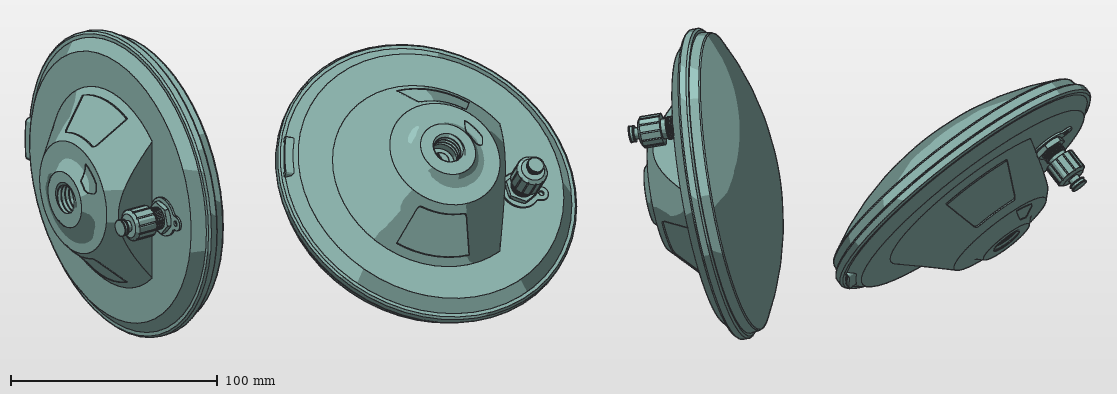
import cadquery as cq
import math


overrun = 1.0

crown_y = 61.75
dome_edge_radius = 72.6
dome_edge_y = 42.5
band_top_radius = 73.0
band_top_y = 41.8
band_bottom_radius = 73.7
flange_radius = 76.0
flange_chamfer = 1.0
flange_top_y = 37.2
flange_bottom_y = 32.0
base_rim_radius = 73.2
base_radius = 67.5
base_y = 27.0

hub_base_radius = 50.0
hub_face_y = 5.0
hub_face_radius = hub_base_radius - (base_y - hub_face_y)
hub_flat_base_x = 35.0
hub_flat_lean = 3.0
hub_flat_rise = 18.0

nose_radius = 14.0
nose_blend = 10.0
nose_slope = math.radians(45)
nose_blend_height = nose_blend * (1 - math.cos(nose_slope))
nose_blend_width = nose_blend * math.sin(nose_slope)
nose_cone_height = hub_face_y - nose_blend_height
nose_cone_radius = nose_radius + nose_cone_height
nose_foot_radius = nose_cone_radius + nose_blend_width

nose_recess_depth = 0.3
nose_recess_left_x = 10.1
nose_recess_right_x = 19.1
nose_recess_bottom_z = 7.7
nose_recess_inner = (13.2, 9.0)
nose_recess_corner = 2.0

bore_radius = 7.0
bore_depth = 12.0
thread_depth = 1.8
thread_pitch = 2.309
thread_flat = 0.2
thread_overlap = 0.1
thread_start_angle = 215.0
screw_radius = 4.1
screw_height = 1.5
screw_chamfer = 0.35
screw_slot_width = 1.0
screw_slot_depth = 0.8
screw_slot_angle = -54.0

label_outer_radius = 46.5
label_inner_radius = 31.3
label_outer_half_width = 18.4
label_inner_half_width = 12.0
label_corner = 1.5
label_depth = 0.5

lip_radius = 73.7
lip_half_length = 10.9
lip_bottom_y = 28.75
lip_corner = 2.0
lip_inner_x = -66.0
lip_slot_radius = 72.9
lip_slot_half_length = 8.7
lip_slot_y = 30.3

connector_x = 45.0
washer_radius = 9.6
washer_bottom_y = 26.0
lug_x = 55.8
lug_radius = 3.6
lug_hole_radius = 1.3
lug_fillet = 2.0
nut_across_flats = 14.0
nut_bottom_y = 23.35
nut_turn = 47.0
nut_chamfer_radius = 7.2
nut_chamfer_height = 0.5
stud_radius = 5.55
stud_bottom_y = 19.5
stud_thread_pitch = 0.9
stud_thread_depth = 0.5
sleeve_radius = 4.9
cap_radius = 7.75
cap_top_y = 17.1
cap_chamfer_y = 7.2
cap_bottom_y = 5.9
cap_end_radius = 5.9
flute_count = 12
flute_radius = 0.35
neck_radius = 2.8
button_radius = 4.1
button_top_y = 3.3
button_bottom_y = 0.8
button_groove_depth = 0.3
button_rim = 0.6


def revolve_y(profile):
    return profile.close().revolve(360, (0, 0, 0), (0, 1, 0))


def disc(radius, y_from, y_to, x=0.0):
    return cq.Workplane("XZ", origin=(x, y_from, 0)).circle(radius).extrude(y_from - y_to)


def along_y(y_from):
    """Sketch plane facing -Y, with X to the right and Z up."""
    return cq.Workplane("XZ", origin=(0, y_from, 0))


def make_radome():
    curvature_radius = (dome_edge_radius**2 + (crown_y - dome_edge_y) ** 2) / (2 * (crown_y - dome_edge_y))
    mid_radius = dome_edge_radius / 2
    mid_y = crown_y - curvature_radius + math.sqrt(curvature_radius**2 - mid_radius**2)
    return revolve_y(
        cq.Workplane("XY")
        .moveTo(0, base_y)
        .lineTo(base_radius, base_y)
        .lineTo(base_rim_radius, flange_bottom_y)
        .lineTo(flange_radius - flange_chamfer, flange_bottom_y)
        .lineTo(flange_radius, flange_bottom_y + flange_chamfer)
        .lineTo(flange_radius, flange_top_y - flange_chamfer)
        .lineTo(flange_radius - flange_chamfer, flange_top_y)
        .lineTo(band_bottom_radius, flange_top_y)
        .lineTo(band_top_radius, band_top_y)
        .lineTo(dome_edge_radius, dome_edge_y)
        .threePointArc((mid_radius, mid_y), (0, crown_y))
    )


def hub_cone(inset):
    """Hub cone with its side moved inward, square to itself, by inset."""
    shift = inset * math.sqrt(2)
    return revolve_y(
        cq.Workplane("XY")
        .moveTo(0, hub_face_y)
        .lineTo(hub_face_radius - shift, hub_face_y)
        .lineTo(hub_base_radius - shift, base_y)
        .lineTo(0, base_y)
    )


def make_hub():
    lean_per_height = hub_flat_lean / hub_flat_rise
    flat_end_x = hub_flat_base_x - lean_per_height * base_y
    beyond = (
        cq.Workplane("XY")
        .moveTo(hub_flat_base_x, base_y)
        .lineTo(flat_end_x, 0)
        .lineTo(hub_base_radius, 0)
        .lineTo(hub_base_radius, base_y)
        .close()
        .extrude(hub_base_radius, both=True)
    )
    return hub_cone(0).cut(beyond)


def nose_body(inset):
    """Nose of revolution; inset sinks the concave blend by that amount."""
    blend = nose_blend + inset
    centre_radius = nose_foot_radius
    centre_y = hub_face_y - nose_blend

    def on_blend(angle):
        return centre_radius - blend * math.sin(angle), centre_y + blend * math.cos(angle)

    start = on_blend(nose_slope)
    middle = on_blend(nose_slope / 2)
    end = on_blend(0)
    return revolve_y(
        cq.Workplane("XY")
        .moveTo(0, 0)
        .lineTo(start[0] - start[1], 0)
        .lineTo(*start)
        .threePointArc(middle, end)
        .lineTo(centre_radius, hub_face_y + overrun)
        .lineTo(0, hub_face_y + overrun)
    )


def cut_nose_recess(body):
    """Shallow recess following the blend, between the nose cone and the hub face."""
    window = (
        along_y(0)
        .moveTo(nose_recess_left_x, nose_recess_inner[1])
        .lineTo(*nose_recess_inner)
        .lineTo(nose_recess_right_x - 2 * nose_recess_corner, nose_recess_bottom_z)
        .lineTo(nose_recess_right_x - nose_recess_corner, nose_recess_bottom_z)
        .radiusArc((nose_recess_right_x, nose_recess_bottom_z + nose_recess_corner), -nose_recess_corner)
        .lineTo(nose_recess_right_x, nose_foot_radius)
        .lineTo(nose_recess_left_x, nose_foot_radius)
        .close()
        .extrude(-hub_face_y - overrun)
    )
    ring_end_y = hub_face_y + overrun
    ring = disc(nose_foot_radius, 0, ring_end_y).cut(disc(nose_cone_radius, 0, ring_end_y))
    return body.cut(window.intersect(ring).cut(nose_body(nose_recess_depth)))


def cut_bore(body):
    """Mounting bore with a helical V thread that runs out through the nose face."""
    body = body.cut(disc(bore_radius, 0, bore_depth))
    length = bore_depth - thread_pitch
    half_mouth = thread_pitch / 2 - thread_flat
    start_y = -half_mouth
    path = cq.Wire.makeHelix(
        thread_pitch, length, bore_radius, center=cq.Vector(0, start_y, 0), dir=cq.Vector(0, 1, 0)
    )
    start = path.startPoint()
    outward = cq.Vector(start.x, 0, start.z).normalized()
    across = outward.cross(cq.Vector(0, 1, 0))
    section = (
        cq.Workplane(cq.Plane(start.toTuple(), outward.toTuple(), across.toTuple()))
        .moveTo(-thread_overlap, -half_mouth)
        .lineTo(thread_depth, 0)
        .lineTo(-thread_overlap, half_mouth)
        .close()
    )
    groove = section.sweep(cq.Workplane(path), isFrenet=True)
    return body.cut(groove.rotate((0, 0, 0), (0, 1, 0), thread_start_angle))


def make_screw():
    head = disc(screw_radius, bore_depth - screw_height, bore_depth).faces("<Y").chamfer(screw_chamfer)
    slot = (
        along_y(bore_depth - screw_height)
        .transformed(rotate=(0, 0, screw_slot_angle))
        .rect(2 * screw_radius, screw_slot_width)
        .extrude(-screw_slot_depth)
    )
    return head.cut(slot)


def make_label_cutter():
    def on_arc(half_width, radius):
        return half_width, math.sqrt(radius**2 - half_width**2)

    outer_x, outer_z = on_arc(label_outer_half_width, label_outer_radius)
    inner_x, inner_z = on_arc(label_inner_half_width, label_inner_radius)
    window = (
        along_y(0)
        .moveTo(-inner_x, inner_z)
        .threePointArc((0, label_inner_radius), (inner_x, inner_z))
        .lineTo(outer_x, outer_z)
        .threePointArc((0, label_outer_radius), (-outer_x, outer_z))
        .close()
        .extrude(-base_y)
    )
    window = window.edges("|Y and <Z").fillet(label_corner)
    return window.cut(hub_cone(label_depth))


def make_lip():
    length = 2 * lip_half_length
    block = (
        cq.Workplane("YZ", origin=(-flange_radius, 0, 0))
        .center((lip_bottom_y + flange_top_y) / 2, 0)
        .rect(flange_top_y - lip_bottom_y, length)
        .extrude(flange_radius + lip_inner_x)
        .edges("|X and <Y")
        .fillet(lip_corner)
    )
    lip = block.intersect(disc(lip_radius, lip_bottom_y, flange_bottom_y))
    slot_height = flange_bottom_y - lip_slot_y
    slot = (
        cq.Workplane("XY")
        .box(flange_radius, slot_height, 2 * lip_slot_half_length, centered=(False, False, True))
        .translate((-flange_radius, lip_slot_y, 0))
        .cut(disc(lip_slot_radius, lip_slot_y, flange_bottom_y))
    )
    return lip.cut(slot)


def make_washer():
    """Washer with a drilled lug; the corners between the two are filleted."""
    lug = disc(lug_radius, washer_bottom_y, base_y, lug_x)
    bridge = (
        along_y(washer_bottom_y)
        .center((connector_x + lug_x) / 2, 0)
        .rect(lug_x - connector_x, 2 * lug_radius)
        .extrude(washer_bottom_y - base_y)
    )
    plate = disc(washer_radius, washer_bottom_y, base_y, connector_x).union(bridge).union(lug)
    neck_x = connector_x + math.sqrt(washer_radius**2 - lug_radius**2)
    corners = cq.selectors.BoxSelector(
        (neck_x - overrun, 0, -lug_radius - overrun), (neck_x + overrun, base_y, lug_radius + overrun)
    )
    plate = plate.edges("|Y").edges(corners).fillet(lug_fillet)
    return plate.cut(disc(lug_hole_radius, washer_bottom_y, base_y, lug_x))


def make_nut():
    corner_radius = nut_across_flats / 2 / math.cos(math.pi / 6)
    hexagon = (
        cq.Workplane("XZ", origin=(0, nut_bottom_y, 0))
        .transformed(rotate=(0, 0, nut_turn))
        .polygon(6, 2 * corner_radius)
        .extrude(nut_bottom_y - washer_bottom_y)
    )
    envelope = revolve_y(
        cq.Workplane("XY")
        .moveTo(0, nut_bottom_y)
        .lineTo(corner_radius, nut_bottom_y)
        .lineTo(corner_radius, washer_bottom_y - nut_chamfer_height)
        .lineTo(nut_chamfer_radius, washer_bottom_y)
        .lineTo(0, washer_bottom_y)
    )
    return hexagon.intersect(envelope).translate((connector_x, 0, 0))


def make_stud():
    """Threaded stud, with the thread simplified to evenly spaced ring grooves."""
    turns = int((nut_bottom_y - stud_bottom_y) / stud_thread_pitch)
    profile = cq.Workplane("XY").moveTo(0, stud_bottom_y).lineTo(stud_radius, stud_bottom_y)
    for turn in range(turns):
        groove_y = stud_bottom_y + turn * stud_thread_pitch
        profile = profile.lineTo(stud_radius - stud_thread_depth, groove_y + stud_thread_pitch / 2)
        profile = profile.lineTo(stud_radius, groove_y + stud_thread_pitch)
    profile = profile.lineTo(stud_radius, nut_bottom_y).lineTo(0, nut_bottom_y)
    return revolve_y(profile).translate((connector_x, 0, 0))


def make_cap():
    cap = revolve_y(
        cq.Workplane("XY")
        .moveTo(0, cap_bottom_y)
        .lineTo(cap_end_radius, cap_bottom_y)
        .lineTo(cap_radius, cap_chamfer_y)
        .lineTo(cap_radius, cap_top_y)
        .lineTo(0, cap_top_y)
    )
    flutes = (
        along_y(cap_bottom_y)
        .polarArray(cap_radius, 180 / flute_count, 360, flute_count)
        .circle(flute_radius)
        .extrude(cap_bottom_y - cap_top_y)
    )
    return cap.cut(flutes).translate((connector_x, 0, 0))


def make_button():
    button = disc(button_radius, button_bottom_y, button_top_y, connector_x)
    groove_from = button_bottom_y + button_rim
    groove_to = button_top_y - button_rim
    groove = disc(button_radius, groove_from, groove_to, connector_x).cut(
        disc(button_radius - button_groove_depth, groove_from, groove_to, connector_x)
    )
    return button.cut(groove)


def make_connector():
    sleeve = disc(sleeve_radius, cap_top_y, stud_bottom_y, connector_x)
    neck = disc(neck_radius, button_top_y, cap_bottom_y, connector_x)
    connector = make_washer()
    for piece in (make_nut(), make_stud(), sleeve, make_cap(), neck, make_button()):
        connector = connector.union(piece)
    return connector


body = make_radome().union(make_hub())
label_cutter = make_label_cutter()
body = body.cut(label_cutter).cut(label_cutter.mirror("XY"))
body = body.union(nose_body(0))
body = cut_nose_recess(body)
body = cut_bore(body)
body = body.union(make_screw())
body = body.union(make_lip())
result = body.union(make_connector())